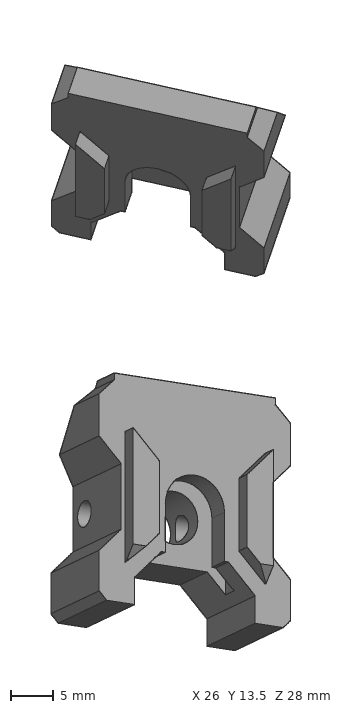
import cadquery as cq

width = 26.0
height = 28.0
body_depth = 11.5
half_width = width / 2
bore_height = 13.0

foot_chamfer = 1.0
waist_half_height = 4.0
waist_inset = 3.0
shoulder_drop = 2.83
shoulder_chamfer = 2.0
top_half_width = 10.95
waist_low = bore_height - waist_half_height
waist_high = bore_height + waist_half_height
waist_half_width = half_width - waist_inset
shoulder_height = height - shoulder_drop

leg_inner_x = 8.18
opening_height = 7.0
opening_chamfer = 3.65

top_depth = 4.0
slope_foot_height = waist_high

neck_radius = 4.0
neck_depth = 3.0
head_radius = 7.0
head_depth = 2.02

main_bore_diameter = 6.5
cross_bore_diameter = 3.2
cross_bore_y = 8.75

rib_projection = 2.0
rib_outer_x = 9.52
rib_inner_x = 5.95
rib_bottom = 4.98
rib_top = 21.0
rib_end_taper = rib_outer_x - rib_inner_x
rib_foot_chamfer = 1.75


def mirrored_outline(right_side):
    """Close a right-hand chain of (x, z) points with its mirror image about X = 0."""
    left_side = [(-x, z) for x, z in reversed(right_side)]
    return right_side + left_side


def extrude_along_y(points, y_start, depth):
    plane = cq.Workplane("XZ", origin=(0, y_start, 0))
    return plane.polyline(points).close().extrude(-depth)


def extrude_across_width(points):
    return cq.Workplane("YZ").polyline(points).close().extrude(half_width, both=True)


def make_body():
    right_side = [
        (leg_inner_x - opening_chamfer, opening_height),
        (leg_inner_x, opening_height - opening_chamfer),
        (leg_inner_x, 0),
        (half_width - foot_chamfer, 0),
        (half_width, foot_chamfer),
        (half_width, waist_low - waist_inset),
        (waist_half_width, waist_low),
        (waist_half_width, waist_high),
        (half_width, waist_high + waist_inset),
        (half_width, shoulder_height),
        (top_half_width, shoulder_height + shoulder_chamfer),
        (top_half_width, height),
    ]
    body = extrude_along_y(mirrored_outline(right_side), 0, body_depth)
    behind_slope = extrude_across_width([
        (top_depth, height),
        (body_depth, height),
        (body_depth, slope_foot_height),
    ])
    return body.cut(behind_slope)


def round_topped_slot(radius, y_start, depth):
    """Slot with a half-round top about the main bore axis, running down between the legs."""
    slot_bottom = opening_height - opening_chamfer
    return (
        cq.Workplane("XZ", origin=(0, y_start, 0))
        .moveTo(-radius, slot_bottom)
        .lineTo(-radius, bore_height)
        .threePointArc((0, bore_height + radius), (radius, bore_height))
        .lineTo(radius, slot_bottom)
        .close()
        .extrude(-depth)
    )


def make_t_slot():
    neck = round_topped_slot(neck_radius, 0, neck_depth)
    head = round_topped_slot(head_radius, neck_depth, head_depth)
    return neck.union(head)


def make_main_bore():
    return cq.Workplane("XZ").center(0, bore_height).circle(main_bore_diameter / 2).extrude(-body_depth)


def make_cross_bore():
    plane = cq.Workplane("YZ").center(cross_bore_y, bore_height)
    return plane.circle(cross_bore_diameter / 2).extrude(half_width, both=True)


def make_ribs():
    """Mirrored pair of ribs, tapered at both ends and bevelled under the front edge."""
    outline = [
        (rib_outer_x, rib_bottom),
        (rib_outer_x, rib_top),
        (rib_inner_x, rib_top - rib_end_taper),
        (rib_inner_x, rib_bottom + rib_end_taper),
    ]
    rib = extrude_along_y(outline, -rib_projection, rib_projection)
    foot_bevel = extrude_across_width([
        (-rib_projection, rib_bottom),
        (-rib_projection, rib_bottom + rib_foot_chamfer),
        (-rib_projection + rib_foot_chamfer, rib_bottom),
    ])
    rib = rib.cut(foot_bevel)
    return rib.union(rib.mirror("YZ"))


result = (
    make_body()
    .cut(make_t_slot())
    .cut(make_main_bore())
    .cut(make_cross_bore())
    .union(make_ribs())
)